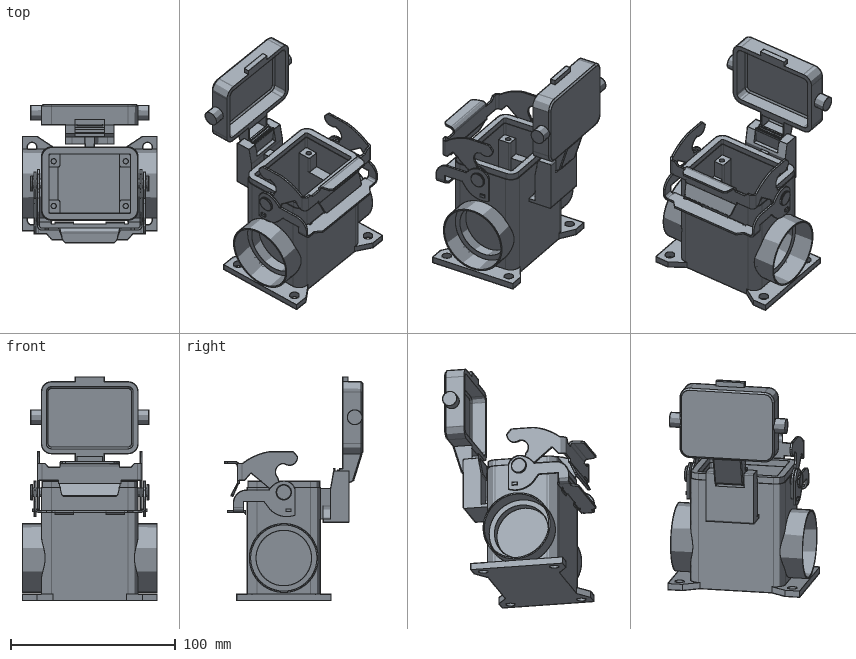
import cadquery as cq
import math

HOUSING_X = 58.8
HOUSING_Y = 44.6
HOUSING_RADIUS = 6.1
RIM_Z = 72.6
RIM_HEIGHT = 4.0
RIM_INSET = 0.4
CAVITY_X = 49.5
CAVITY_Y = 35.9
CAVITY_RADIUS = 1.1
CAVITY_UNDERCUT = 0.3

FOOT_X = 82.0
FOOT_Y = 57.4
FOOT_THICKNESS = 4.0
FOOT_TAB_TIP_X = 32.0
FOOT_TAB_ROOT_X = 22.3
FOOT_HOLE_X = 35.1
FOOT_HOLE_Y = 22.2
FOOT_HOLE_DIAMETER = 5.7

PILLAR_INNER_X = 18.2
PILLAR_INNER_Y = 10.0
PILLAR_TOP_Z = 60.1
PILLAR_EDGE_RADIUS = 1.0
PILLAR_HOLE_X = 21.9
PILLAR_HOLE_Y = 13.6
PILLAR_HOLE_DIAMETER = 3.1
PILLAR_HOLE_DEPTH = 10.9
SHELF_INNER_X = 19.2
SHELF_TOP_Z = 49.0

ENTRY_Z = 25.8
ENTRY_RADIUS = 21.0
ENTRY_MOUTH_RADIUS = 20.1
ENTRY_BORE_RADIUS = 16.9
ENTRY_STEP_X = 28.5
ENTRY_END_X = 21.8

COVER_X = HOUSING_X
COVER_BOTTOM_Z = 89.2
COVER_TOP_Z = 133.0
COVER_FRONT_Y = 35.8
COVER_BACK_Y = 48.1
COVER_EDGE = 1.1
COVER_POCKET_MARGIN = 3.0
COVER_POCKET_RADIUS = 3.1
COVER_FLOOR_Y = 45.2
COVER_TAB_X = 17.7
COVER_TAB_TOP_Z = 136.0
COVER_TAB_THICKNESS = 3.3
PEG_SPAN = 71.8
PEG_RADIUS = 4.5
PEG_Y = 43.1
PEG_Z = 111.4

ARM_X = 17.7
ARM_RIB = 1.0
ARM_HEEL_Y = 42.5
ARM_HEEL_Z = 73.0
ARM_TOE_Y = 40.4
ARM_TOE_Z = 71.8
ARM_SOLE_Y = 31.3
ARM_WINDOW_Z = 87.5
ARM_WINDOW_TOP_Y = 45.7
ARM_WINDOW_FLOOR_Y = 43.0
ARM_GROOVE_DEPTH = 2.0
ARM_STEP_DEPTH = 0.8
ARM_POST_THICKNESS = 0.8
ARM_FLOOR_Z = 78.3
ARM_LIP_Z = 80.2
ARM_LIP_BACK_Y = 35.1
ARM_LIP_FRONT_Y = 34.0
ARM_STEP_Y = 32.8
ARM_EDGE = 0.7
BRACKET_X = 29.6
BRACKET_BACK_Y = 39.7
BRACKET_TOP_Z = 78.9
BRACKET_BOTTOM_Z = 47.5
BRACKET_TOP_Y = 30.3
BRACKET_FRONT_Y = 28.4
BRACKET_SLOPE_END_Z = 68.1
BRACKET_EDGE = 0.8
BRACKET_SILL_Z = 70.2
BRACKET_LIP_Y = 24.0
BRACKET_LIP_Z = 49.5
STEM_X = 5.7
STEM_FILLET = 8.0

PIVOT_Z = 65.8
PIVOT_RADIUS = 2.7
PIVOT_HEAD_RADIUS = 4.6
PIVOT_HEAD_THICKNESS = 1.2
PIVOT_HEAD_EDGE = 0.3
SHEET = 1.2
BEND_RADIUS = 2.9
INNER_BEND_RADIUS = BEND_RADIUS - SHEET

UPPER_OUTER_X = 31.8
UPPER_FRONT_Y = -28.3
UPPER_FOOT_Y = 5.5
UPPER_FOOT_Z = 55.4
UPPER_PLATE_BOTTOM_Z = 73.0
UPPER_PLATE_TOP_Z = 83.4
UPPER_PLATE_LOW_Z = 81.0
UPPER_LOW_X = 25.0
UPPER_SHOULDER_X = 27.2
UPPER_GRIP_TOP_Z = 84.6
UPPER_GRIP_ROOT_X = 18.2
UPPER_GRIP_CORNER_X = 16.6
UPPER_GRIP_CORNER_Y = -34.3
UPPER_GRIP_END_X = 14.8
UPPER_GRIP_TIP_Y = -36.0
FLAP_ROOT_X = 19.0
FLAP_CORNER_X = 17.1
FLAP_CORNER_Z = 64.6
FLAP_END_X = 16.0
FLAP_END_SLANT = 0.5
FLAP_TOP_Z = 71.3
FLAP_BOTTOM_Z = 63.2
FLAP_TIP_Y = -32.2

LOWER_OUTER_X = 33.9
LOWER_FLANGE_Z = 53.6
LOWER_BAND_TOP_Z = 57.1
LOWER_INNER_Y = -24.5
LOWER_EDGE_Y = -23.3
LOWER_TAB_BEND_Y = -24.0
LOWER_TAB_INNER_X = 9.8
LOWER_TAB_WIDTH = 11.4
LAND_INNER_X = 23.3
NUB_HEIGHT = 1.0
NUB_Y = 1.2
NUB_Z = 54.0
NUB_LENGTH = 3.3
NUB_WIDTH = 1.8
LOWER_FRONT_Y = -30.6
LOWER_TIP_Y = -34.3
HANDLE_ROOT_X = 26.2
HANDLE_TIP_X = 22.8


def box(x0, x1, y0, y1, z0, z1):
    return cq.Workplane("XY").box(x1 - x0, y1 - y0, z1 - z0, centered=False).translate((x0, y0, z0))


def side_profile(half_width):
    """Sketch plane for (Y, Z) outlines, extruded toward +X from -half_width."""
    return cq.Workplane("YZ").workplane(offset=-half_width)


def cylinder_x(radius, x0, x1, y, z):
    return cq.Workplane("YZ").workplane(offset=x0).center(y, z).circle(radius).extrude(x1 - x0)


def both_sides(solid):
    return solid.union(solid.mirror("YZ"))


def four_corners(x, y):
    return [(sx * x, sy * y) for sx in (-1, 1) for sy in (-1, 1)]


def make_foot():
    side_tab = [
        (0, -HOUSING_Y / 2),
        (FOOT_TAB_ROOT_X, -HOUSING_Y / 2),
        (FOOT_TAB_TIP_X, -FOOT_Y / 2),
        (FOOT_X / 2, -FOOT_Y / 2),
        (FOOT_X / 2, FOOT_Y / 2),
        (FOOT_TAB_TIP_X, FOOT_Y / 2),
        (FOOT_TAB_ROOT_X, HOUSING_Y / 2),
        (0, HOUSING_Y / 2),
    ]
    foot = both_sides(cq.Workplane("XY").polyline(side_tab).close().extrude(FOOT_THICKNESS))
    holes = cq.Workplane("XY").pushPoints(four_corners(FOOT_HOLE_X, FOOT_HOLE_Y))
    return foot.cut(holes.circle(FOOT_HOLE_DIAMETER / 2).extrude(FOOT_THICKNESS))


def make_shell():
    wall_top_z = RIM_Z - RIM_HEIGHT
    shell = cq.Workplane("XY").rect(HOUSING_X, HOUSING_Y).extrude(wall_top_z)
    shell = shell.edges("|Z").fillet(HOUSING_RADIUS)
    rim = cq.Workplane("XY").workplane(offset=wall_top_z)
    rim = rim.rect(HOUSING_X - 2 * RIM_INSET, HOUSING_Y - 2 * RIM_INSET).extrude(RIM_HEIGHT)
    return shell.union(rim.edges("|Z").fillet(HOUSING_RADIUS - RIM_INSET))


def make_cavity():
    opening = cq.Workplane("XY").workplane(offset=FOOT_THICKNESS)
    opening = opening.rect(CAVITY_X, CAVITY_Y).extrude(RIM_Z - FOOT_THICKNESS)
    chamber = cq.Workplane("XY").workplane(offset=FOOT_THICKNESS)
    chamber = chamber.rect(CAVITY_X + 2 * CAVITY_UNDERCUT, CAVITY_Y + 2 * CAVITY_UNDERCUT)
    chamber = chamber.extrude(RIM_Z - RIM_HEIGHT - FOOT_THICKNESS)
    cavity = opening.edges("|Z").fillet(CAVITY_RADIUS).union(chamber.edges("|Z").fillet(CAVITY_RADIUS))

    pillar = box(PILLAR_INNER_X, HOUSING_X / 2, PILLAR_INNER_Y, HOUSING_Y / 2, 0, PILLAR_TOP_Z)
    pillar = pillar.edges("|Z and <X and <Y").fillet(PILLAR_EDGE_RADIUS)
    pillars = both_sides(pillar.union(pillar.mirror("XZ")))
    wall_x = HOUSING_X / 2
    wall_y = HOUSING_Y / 2
    left_shelf = box(-wall_x, -SHELF_INNER_X, -wall_y, wall_y, 0, SHELF_TOP_Z)
    right_shelf = box(PILLAR_INNER_X, wall_x, -wall_y, wall_y, 0, SHELF_TOP_Z)
    screw_holes = (
        cq.Workplane("XY")
        .workplane(offset=PILLAR_TOP_Z)
        .pushPoints(four_corners(PILLAR_HOLE_X, PILLAR_HOLE_Y))
        .circle(PILLAR_HOLE_DIAMETER / 2)
        .extrude(-PILLAR_HOLE_DEPTH)
    )
    return cavity.cut(pillars).cut(left_shelf).cut(right_shelf).union(screw_holes)


def make_housing():
    entry_tubes = both_sides(cylinder_x(ENTRY_RADIUS, ENTRY_END_X, FOOT_X / 2, 0, ENTRY_Z))
    mouths = both_sides(cylinder_x(ENTRY_MOUTH_RADIUS, ENTRY_STEP_X, FOOT_X / 2, 0, ENTRY_Z))
    bores = both_sides(cylinder_x(ENTRY_BORE_RADIUS, ENTRY_END_X, FOOT_X / 2, 0, ENTRY_Z))
    housing = make_shell().union(make_foot()).union(entry_tubes)
    return housing.cut(make_cavity()).cut(mouths).cut(bores)


def make_cover():
    depth = COVER_BACK_Y - COVER_FRONT_Y
    height = COVER_TOP_Z - COVER_BOTTOM_Z
    middle_z = (COVER_TOP_Z + COVER_BOTTOM_Z) / 2
    front_plane = cq.Workplane("XZ", origin=(0, COVER_FRONT_Y, middle_z))
    cover = front_plane.rect(COVER_X, height).extrude(-depth)
    cover = cover.edges("|Y").fillet(HOUSING_RADIUS).faces(">Y").edges().chamfer(COVER_EDGE)

    pocket = front_plane.rect(COVER_X - 2 * COVER_POCKET_MARGIN, height - 2 * COVER_POCKET_MARGIN)
    pocket = pocket.extrude(COVER_FRONT_Y - COVER_FLOOR_Y)
    pocket = pocket.edges("|Y").fillet(COVER_POCKET_RADIUS).faces(">Y").edges().chamfer(COVER_EDGE)

    tab_back_y = COVER_FRONT_Y + COVER_TAB_THICKNESS
    tab = box(-COVER_TAB_X / 2, COVER_TAB_X / 2, COVER_FRONT_Y, tab_back_y, middle_z, COVER_TAB_TOP_Z)
    pegs = cylinder_x(PEG_RADIUS, -PEG_SPAN / 2, PEG_SPAN / 2, PEG_Y, PEG_Z)
    return cover.union(tab).union(pegs).cut(pocket)


def make_arm():
    """Hollow arm from the cover down into the bracket slot, with a grooved lip on its foot."""
    slope_top = (COVER_BACK_Y - COVER_EDGE / 2, COVER_BOTTOM_Z)
    slope_bottom = (ARM_HEEL_Y, ARM_HEEL_Z)
    groove_z = ARM_LIP_Z - ARM_GROOVE_DEPTH
    step_z = ARM_LIP_Z - ARM_STEP_DEPTH
    post_y = BRACKET_TOP_Y + ARM_POST_THICKNESS
    outline = [
        (COVER_FRONT_Y, COVER_BOTTOM_Z + COVER_EDGE),
        (COVER_BACK_Y - COVER_EDGE, COVER_BOTTOM_Z + COVER_EDGE),
        slope_top,
        slope_bottom,
        (ARM_TOE_Y, ARM_TOE_Z),
        (ARM_SOLE_Y, BRACKET_SILL_Z),
        (BRACKET_TOP_Y, ARM_LIP_Z),
        (post_y, ARM_LIP_Z),
        (post_y, groove_z),
        (ARM_STEP_Y, groove_z),
        (ARM_STEP_Y, step_z),
        (ARM_LIP_FRONT_Y, step_z),
        (ARM_LIP_FRONT_Y, ARM_LIP_Z),
        (COVER_FRONT_Y, ARM_LIP_Z),
    ]
    arm = side_profile(ARM_X / 2).polyline(outline).close().extrude(ARM_X)
    slope_middle = ((slope_top[0] + slope_bottom[0]) / 2, (slope_top[1] + slope_bottom[1]) / 2)
    for side in (-1, 1):
        arm = arm.edges(cq.NearestToPointSelector((side * ARM_X / 2, *slope_middle))).chamfer(ARM_EDGE)

    window = [
        (COVER_FRONT_Y, ARM_WINDOW_Z),
        (ARM_WINDOW_TOP_Y, ARM_WINDOW_Z),
        (ARM_WINDOW_FLOOR_Y, ARM_FLOOR_Z),
        (ARM_LIP_BACK_Y, ARM_FLOOR_Z),
        (ARM_LIP_BACK_Y, ARM_LIP_Z),
        (COVER_FRONT_Y, ARM_LIP_Z),
    ]
    window_x = ARM_X - 2 * ARM_RIB
    return arm.cut(side_profile(window_x / 2).polyline(window).close().extrude(window_x))


def make_bracket():
    outline = [
        (BRACKET_BACK_Y, BRACKET_BOTTOM_Z),
        (BRACKET_BACK_Y, BRACKET_TOP_Z),
        (BRACKET_TOP_Y, BRACKET_TOP_Z),
        (BRACKET_FRONT_Y, BRACKET_SLOPE_END_Z),
        (BRACKET_FRONT_Y, BRACKET_LIP_Z),
        (BRACKET_LIP_Y, BRACKET_LIP_Z),
        (BRACKET_LIP_Y, BRACKET_BOTTOM_Z),
    ]
    bracket = side_profile(BRACKET_X / 2).polyline(outline).close().extrude(BRACKET_X)
    bracket = bracket.edges("|X and >Y").fillet(BRACKET_EDGE)
    slot = box(-ARM_X / 2, ARM_X / 2, BRACKET_LIP_Y, BRACKET_BACK_Y, BRACKET_SILL_Z, BRACKET_TOP_Z)
    bracket = bracket.cut(slot)

    stem = box(
        -STEM_X / 2,
        STEM_X / 2,
        HOUSING_Y / 2 - RIM_INSET,
        BRACKET_FRONT_Y,
        BRACKET_LIP_Z,
        BRACKET_SLOPE_END_Z,
    )
    flare_end_x = STEM_X / 2 + STEM_FILLET
    flare_top_z = BRACKET_LIP_Z + STEM_FILLET
    flare = box(-flare_end_x, flare_end_x, BRACKET_LIP_Y, BRACKET_FRONT_Y, BRACKET_LIP_Z, flare_top_z)
    for side in (-1, 1):
        hollow = cq.Workplane("XZ", origin=(side * flare_end_x, BRACKET_LIP_Y, flare_top_z))
        flare = flare.cut(hollow.circle(STEM_FILLET).extrude(BRACKET_LIP_Y - BRACKET_FRONT_Y))
    return bracket.union(stem).union(flare)


def upper_lever_cheek():
    """Hooked side plate; the round mouth of the hook takes a cover peg."""
    outline = (
        side_profile(UPPER_OUTER_X)
        .moveTo(5.7, 90.6)
        .lineTo(-8.5, 90.6)
        .threePointArc((-18.0, 87.7), (-25.0, UPPER_PLATE_TOP_Z))
        .lineTo(UPPER_FRONT_Y, UPPER_PLATE_TOP_Z)
        .lineTo(UPPER_FRONT_Y, UPPER_PLATE_BOTTOM_Z)
        .lineTo(-23.8, UPPER_PLATE_BOTTOM_Z)
        .lineTo(-20.5, 76.8)
        .threePointArc((-20.0, 77.2), (-19.2, 76.8))
        .lineTo(-9.1, 68.5)
        .lineTo(-UPPER_FOOT_Y, UPPER_FOOT_Z)
        .lineTo(UPPER_FOOT_Y, UPPER_FOOT_Z)
        .lineTo(UPPER_FOOT_Y, PIVOT_Z)
        .threePointArc((3.8, 69.6), (-3.0, 72.4))
        .lineTo(-3.5, 74.5)
        .threePointArc((-5.0, 78.3), (0, 83.2))
        .threePointArc((1.9, 82.4), (4.0, 82.1))
        .threePointArc((7.1, 83.8), (8.5, 87.3))
        .close()
    )
    return outline.extrude(SHEET)


def make_upper_lever():
    plate_front = UPPER_FRONT_Y
    plate_back = plate_front + SHEET
    inner_x = UPPER_OUTER_X - SHEET
    band_end_y = plate_back + BEND_RADIUS
    outside = box(
        -UPPER_OUTER_X, UPPER_OUTER_X, plate_front, band_end_y, UPPER_PLATE_BOTTOM_Z, UPPER_PLATE_TOP_Z
    )
    inside = box(-inner_x, inner_x, plate_back, band_end_y, UPPER_PLATE_BOTTOM_Z, UPPER_PLATE_TOP_Z)
    inside = inside.edges("|Z and <Y").fillet(INNER_BEND_RADIUS)
    band = outside.cut(inside)
    lever = band.union(both_sides(upper_lever_cheek()))
    lever = lever.edges("|Z and <Y").fillet(BEND_RADIUS)

    lowered = [
        (-UPPER_SHOULDER_X, UPPER_PLATE_TOP_Z),
        (-UPPER_LOW_X, UPPER_PLATE_LOW_Z),
        (UPPER_LOW_X, UPPER_PLATE_LOW_Z),
        (UPPER_SHOULDER_X, UPPER_PLATE_TOP_Z),
    ]
    lowered_plane = cq.Workplane("XZ", origin=(0, plate_back, 0))
    lever = lever.cut(lowered_plane.polyline(lowered).close().extrude(SHEET))

    bend_z = UPPER_GRIP_TOP_Z - BEND_RADIUS
    bend_y = plate_back - BEND_RADIUS
    diagonal = math.sqrt(0.5)
    grip = (
        side_profile(UPPER_GRIP_ROOT_X)
        .moveTo(plate_back, UPPER_PLATE_LOW_Z)
        .lineTo(plate_back, bend_z)
        .threePointArc(
            (bend_y + BEND_RADIUS * diagonal, bend_z + BEND_RADIUS * diagonal),
            (bend_y, UPPER_GRIP_TOP_Z),
        )
        .lineTo(UPPER_GRIP_TIP_Y, UPPER_GRIP_TOP_Z)
        .lineTo(UPPER_GRIP_TIP_Y, UPPER_GRIP_TOP_Z - SHEET)
        .lineTo(bend_y, UPPER_GRIP_TOP_Z - SHEET)
        .threePointArc(
            (bend_y + INNER_BEND_RADIUS * diagonal, bend_z + INNER_BEND_RADIUS * diagonal),
            (plate_front, bend_z),
        )
        .lineTo(plate_front, UPPER_PLATE_LOW_Z)
        .close()
        .extrude(2 * UPPER_GRIP_ROOT_X)
    )
    grip_outline = [
        (-UPPER_GRIP_ROOT_X, plate_back),
        (-UPPER_GRIP_CORNER_X, UPPER_GRIP_CORNER_Y),
        (-UPPER_GRIP_END_X, UPPER_GRIP_TIP_Y),
        (UPPER_GRIP_END_X, UPPER_GRIP_TIP_Y),
        (UPPER_GRIP_CORNER_X, UPPER_GRIP_CORNER_Y),
        (UPPER_GRIP_ROOT_X, plate_back),
    ]
    grip_blank = cq.Workplane("XY").polyline(grip_outline).close().extrude(UPPER_GRIP_TOP_Z)
    lever = lever.union(grip.intersect(grip_blank))

    skirt = box(-FLAP_ROOT_X, FLAP_ROOT_X, plate_front, plate_back, FLAP_TOP_Z, UPPER_PLATE_BOTTOM_Z)
    flap_root_z = (FLAP_TOP_Z + UPPER_PLATE_BOTTOM_Z) / 2
    flap_side = [
        (plate_back, flap_root_z),
        (plate_front, FLAP_TOP_Z),
        (FLAP_TIP_Y, FLAP_BOTTOM_Z + FLAP_END_SLANT),
        (FLAP_TIP_Y + SHEET, FLAP_BOTTOM_Z),
    ]
    flap_face = [
        (-FLAP_ROOT_X, UPPER_PLATE_BOTTOM_Z),
        (-FLAP_CORNER_X, FLAP_CORNER_Z),
        (-FLAP_END_X, FLAP_BOTTOM_Z),
        (FLAP_END_X, FLAP_BOTTOM_Z),
        (FLAP_CORNER_X, FLAP_CORNER_Z),
        (FLAP_ROOT_X, UPPER_PLATE_BOTTOM_Z),
    ]
    flap = side_profile(FLAP_ROOT_X).polyline(flap_side).close().extrude(2 * FLAP_ROOT_X)
    flap_blank = cq.Workplane("XZ").polyline(flap_face).close().extrude(-UPPER_GRIP_TIP_Y)
    return lever.union(skirt).union(flap.intersect(flap_blank))


def lower_lever_cheek():
    """Side plate: a lobe around the pivot and a curved neck down to the front flange."""
    outline = (
        side_profile(LOWER_OUTER_X)
        .moveTo(7.0, 52.0)
        .lineTo(7.0, 67.2)
        .threePointArc((4.4, 71.3), (-2.2, 72.4))
        .threePointArc((-6.0, 70.5), (-9.1, 67.2))
        .lineTo(-22.3, 67.2)
        .threePointArc((-28.2, 65.0), (LOWER_FRONT_Y, 60.2))
        .lineTo(LOWER_FRONT_Y, LOWER_BAND_TOP_Z)
        .lineTo(LOWER_INNER_Y, LOWER_BAND_TOP_Z)
        .lineTo(LOWER_INNER_Y, 60.1)
        .lineTo(-12.0, 60.1)
        .lineTo(-8.5, 55.6)
        .threePointArc((-2.0, 51.5), (7.0, 52.0))
        .close()
    )
    cheek = outline.extrude(SHEET)
    nub_tip_x = -LOWER_OUTER_X - NUB_HEIGHT
    nub = box(nub_tip_x, -LOWER_OUTER_X, NUB_Y, NUB_Y + NUB_LENGTH, NUB_Z, NUB_Z + NUB_WIDTH)
    return cheek.union(nub)


def make_lower_lever():
    flange_top_z = LOWER_FLANGE_Z + SHEET
    inner_x = LOWER_OUTER_X - SHEET
    outer_x = LOWER_OUTER_X
    outside = box(-outer_x, outer_x, LOWER_FRONT_Y, LOWER_INNER_Y, LOWER_FLANGE_Z, LOWER_BAND_TOP_Z)
    inside = box(-inner_x, inner_x, LOWER_FRONT_Y, LOWER_INNER_Y, flange_top_z, LOWER_BAND_TOP_Z)
    flange = outside.edges("|Y and <Z").fillet(BEND_RADIUS)
    flange = flange.cut(inside.edges("|Y and <Z").fillet(INNER_BEND_RADIUS))
    lever = flange.union(both_sides(lower_lever_cheek()))

    handle_outline = [
        (-HANDLE_ROOT_X, LOWER_FRONT_Y),
        (-HANDLE_TIP_X, LOWER_TIP_Y),
        (HANDLE_TIP_X, LOWER_TIP_Y),
        (HANDLE_ROOT_X, LOWER_FRONT_Y),
    ]
    handle = cq.Workplane("XY").workplane(offset=LOWER_FLANGE_Z).polyline(handle_outline)
    handle = handle.close().extrude(SHEET)

    land_outer_x = LOWER_OUTER_X - BEND_RADIUS
    land = box(LAND_INNER_X, land_outer_x, LOWER_INNER_Y, LOWER_EDGE_Y, LOWER_FLANGE_Z, flange_top_z)
    tab_side = [
        (LOWER_INNER_Y, flange_top_z),
        (LOWER_TAB_BEND_Y, flange_top_z),
        (LOWER_EDGE_Y, flange_top_z - SHEET),
        (LOWER_EDGE_Y, LOWER_FLANGE_Z - SHEET),
        (LOWER_TAB_BEND_Y, LOWER_FLANGE_Z),
        (LOWER_INNER_Y, LOWER_FLANGE_Z),
    ]
    tab_plane = cq.Workplane("YZ").workplane(offset=LOWER_TAB_INNER_X)
    tab = tab_plane.polyline(tab_side).close().extrude(LOWER_TAB_WIDTH)
    return lever.union(handle).union(both_sides(land)).union(both_sides(tab))


def make_pivots():
    head_outer_x = PEG_SPAN / 2
    head_inner_x = head_outer_x - PIVOT_HEAD_THICKNESS
    shaft = cylinder_x(PIVOT_RADIUS, HOUSING_X / 2 - RIM_INSET, head_inner_x, 0, PIVOT_Z)
    head = cylinder_x(PIVOT_HEAD_RADIUS, head_inner_x, head_outer_x, 0, PIVOT_Z)
    return both_sides(shaft.union(head.faces(">X").edges().chamfer(PIVOT_HEAD_EDGE)))


result = make_housing()
for component in (
    make_cover(),
    make_arm(),
    make_bracket(),
    make_upper_lever(),
    make_lower_lever(),
    make_pivots(),
):
    result = result.union(component)